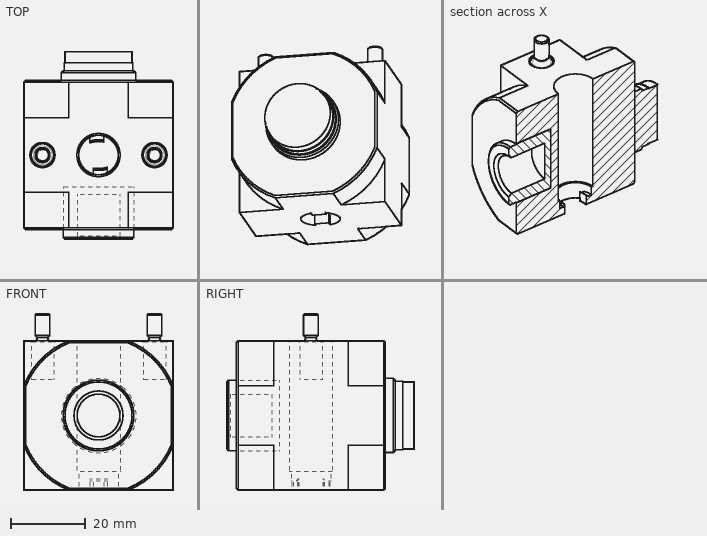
import cadquery as cq
import math

block_side = 40.0
half_side = block_side / 2
middle_width = 20.0
end_round_diameter = 43.05
edge_chamfer = 0.5

bore_diameter = 11.6
ledge_diameter = 10.6
ledge_height = 5.0
lug_width = 3.8
lug_offset = 0.45
lug_height = 2.5
lug_gap = 3.6
lug_arc_radius = 15.6 / 2
lug_lip = 0.5

pin_x = 15.0
pin_flange_diameter = 6.0
pin_recess_diameter = 6.75
pin_recess_depth = 1.5
pin_flange_drop = 0.3
pin_flange_height = 10.05
pin_fillet_diameter = 5.0
pin_neck_diameter = 2.9
pin_diameter = 4.0
pin_tip_diameter = 3.25
pin_undercut_top = 1.5
pin_top = 7.3

bush_diameter = 19.0
bush_projection = 2.5
bush_inset = 11.55
bush_bore_diameter = 11.45
bush_mouth_diameter = 13.15
bush_floor = 2.0

collar_diameter = 20.0
collar_length = 2.55
shoulder_diameter = 18.4
shoulder_length = 2.1
tip_diameter = 18.0
tip_length = 3.0


def cylinder_y(diameter, start, length):
    """Solid cylinder along +Y, beginning at Y = start."""
    axis_start = cq.Vector(0, start, 0)
    return cq.Workplane(cq.Solid.makeCylinder(diameter / 2, length, axis_start, cq.Vector(0, 1, 0)))


def cylinder_z(diameter, start, length, x=0):
    """Solid cylinder along +Z, beginning at Z = start."""
    return cq.Workplane(cq.Solid.makeCylinder(diameter / 2, length, cq.Vector(x, 0, start)))


def make_block():
    """Square middle section between two rounded and chamfered end sections."""
    middle = cq.Workplane("XY").box(block_side, middle_width, block_side)
    ends = (
        cq.Workplane("XY")
        .box(block_side, block_side, block_side)
        .intersect(cylinder_y(end_round_diameter, -half_side, block_side))
        .faces("<Y or >Y")
        .chamfer(edge_chamfer)
    )
    return middle.union(ends)


def make_lug():
    """Lug on the +Y side of the bore, with a sharp lip along its arched inner edge."""
    lug_top = lug_height - half_side
    arc_center_y = lug_gap - lug_arc_radius
    plate = cylinder_z(bore_diameter, -half_side, lug_height)
    lip = cq.Solid.makeCone(
        lug_arc_radius + lug_lip, lug_arc_radius, lug_lip, cq.Vector(0, arc_center_y, lug_top)
    )
    hollow = cylinder_z(2 * lug_arc_radius, -half_side, block_side).translate((0, arc_center_y, 0))
    envelope = (
        cq.Workplane("XY")
        .box(lug_width, bore_diameter / 2, block_side, centered=(True, False, True))
        .translate((-lug_offset, 0, 0))
    )
    return plate.union(cq.Workplane(lip)).cut(hollow).intersect(envelope)


def make_housing():
    """Block with the lugged vertical bore, the recessed pin holes and the bush hole."""
    housing = make_block()
    housing = housing.cut(cylinder_z(ledge_diameter, -half_side, block_side))
    housing = housing.cut(cylinder_z(bore_diameter, ledge_height - half_side, block_side))
    lug = make_lug()
    for angle in (0, 180):
        housing = housing.union(lug.rotate((0, 0, 0), (0, 0, 1), angle))

    flange_top = half_side - pin_flange_drop
    for x in (-pin_x, pin_x):
        housing = housing.cut(
            cylinder_z(pin_flange_diameter, flange_top - pin_flange_height, pin_flange_height, x)
        )
        recess = cq.Solid.makeCone(
            pin_flange_diameter / 2,
            pin_recess_diameter / 2,
            pin_recess_depth,
            cq.Vector(x, 0, half_side - pin_recess_depth),
        )
        housing = housing.cut(cq.Workplane(recess))

    return housing.cut(cylinder_y(bush_diameter, -half_side, bush_inset))


def make_pin(x):
    """Turned pin: flange, filleted neck, conical undercut and chamfered tip."""
    flange_radius = pin_flange_diameter / 2
    fillet_start = pin_fillet_diameter / 2
    neck_radius = pin_neck_diameter / 2
    body_radius = pin_diameter / 2
    tip_radius = pin_tip_diameter / 2
    tip_chamfer = body_radius - tip_radius
    undercut_bottom = pin_undercut_top - (body_radius - neck_radius)

    flange_top = -pin_flange_drop
    fillet_radius = fillet_start - neck_radius
    fillet_top = flange_top + fillet_radius
    fillet_inset = fillet_radius * math.sqrt(0.5)
    fillet_middle = (fillet_start - fillet_inset, fillet_top - fillet_inset)

    profile = (
        cq.Workplane("XZ")
        .moveTo(0, flange_top - pin_flange_height)
        .lineTo(flange_radius, flange_top - pin_flange_height)
        .lineTo(flange_radius, flange_top)
        .lineTo(fillet_start, flange_top)
        .threePointArc(fillet_middle, (neck_radius, fillet_top))
        .lineTo(neck_radius, undercut_bottom)
        .lineTo(body_radius, pin_undercut_top)
        .lineTo(body_radius, pin_top - tip_chamfer)
        .lineTo(tip_radius, pin_top)
        .lineTo(0, pin_top)
        .close()
    )
    return profile.revolve(360, (0, 0, 0), (0, 1, 0)).translate((x, 0, half_side))


def make_bush():
    """Bush set into the front face, with a blind bore and a chamfered mouth."""
    front = -half_side - bush_projection
    length = bush_projection + bush_inset
    mouth_chamfer = (bush_mouth_diameter - bush_bore_diameter) / 2
    mouth = cq.Solid.makeCone(
        bush_mouth_diameter / 2,
        bush_bore_diameter / 2,
        mouth_chamfer,
        cq.Vector(0, front, 0),
        cq.Vector(0, 1, 0),
    )
    return (
        cylinder_y(bush_diameter, front, length)
        .faces("<Y")
        .chamfer(edge_chamfer)
        .cut(cylinder_y(bush_bore_diameter, front, length - bush_floor))
        .cut(cq.Workplane(mouth))
    )


def make_spigot():
    """Stepped spigot standing on the rear face."""
    shoulder_start = half_side + collar_length
    tip_start = shoulder_start + shoulder_length
    collar = cylinder_y(collar_diameter, half_side, collar_length).faces(">Y").chamfer(edge_chamfer)
    return (
        collar
        .union(cylinder_y(shoulder_diameter, shoulder_start, shoulder_length))
        .union(cylinder_y(tip_diameter, tip_start, tip_length))
    )


housing = make_housing()
pins = [make_pin(x) for x in (-pin_x, pin_x)]
bush = make_bush()
spigot = make_spigot()

result = cq.Compound.makeCompound(
    [housing.val(), *[pin.val() for pin in pins], bush.val(), spigot.val()]
)